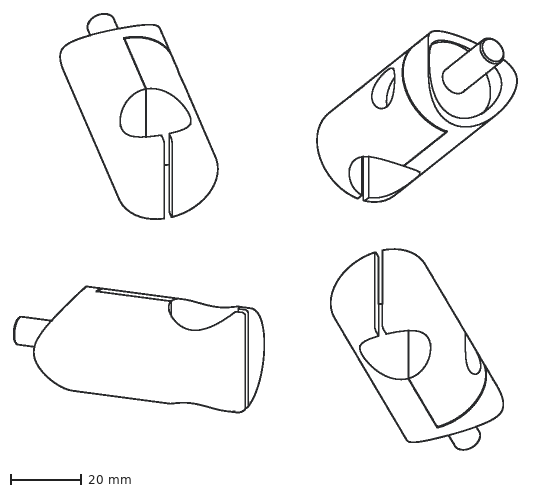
import cadquery as cq

total_length = 69.65
body_diameter = 30.0
body_radius = body_diameter / 2
end_fillet = 1.05

saddle_radius = 16.85
saddle_bottom_x = 19.65
saddle_axis_x = saddle_bottom_x - saddle_radius

recess_diameter = 24.5
recess_floor_x = saddle_bottom_x + 0.5

step_x = 23.8
jaw_end_gap = 0.4
jaw_start_x = step_x + jaw_end_gap
jaw_side_gap = 0.15

bore_diameter = 20.1
bore_x = 56.6
slot_width = 2.3

pocket_diameter = 12.0
pocket_x = 34.2
pocket_floor_y = 10.0

stud_diameter = 8.1
stud_chamfer = 0.5


def rod_x(diameter, start_x, end_x):
    """Cylinder on the X axis."""
    return cq.Workplane("YZ", origin=(start_x, 0, 0)).circle(diameter / 2).extrude(end_x - start_x)


def rod_z(diameter, x):
    """Cylinder parallel to Z, longer than the body is high."""
    return cq.Workplane("XY").center(x, 0).circle(diameter / 2).extrude(body_diameter, both=True)


def block(start_x, end_x, start_y, end_y):
    """Rectangular block taller than the body."""
    return cq.Workplane("XY").box(
        end_x - start_x, end_y - start_y, 2 * body_diameter, centered=(False, False, True)
    ).translate((start_x, start_y, 0))


def make_envelope():
    """Rounded cylinder with the cross bore and slot, shared by the body and the jaw."""
    envelope = rod_x(body_diameter, 0, total_length).faces(">X").edges().fillet(end_fillet)
    slot = block(bore_x, total_length, -slot_width / 2, slot_width / 2)
    return envelope.cut(rod_z(bore_diameter, bore_x)).cut(slot)


def make_body():
    """Half cylinder with a full round saddle end."""
    jaw_space = block(step_x, total_length, 0, body_radius)
    saddle = rod_z(2 * saddle_radius, saddle_axis_x)
    stub_side = block(0, saddle_axis_x, -body_radius, body_radius)
    recess = rod_x(recess_diameter, 0, recess_floor_x)
    stud_hole = rod_x(stud_diameter, 0, step_x)
    body = make_envelope().cut(jaw_space)
    return body.cut(stub_side).cut(saddle).cut(recess).cut(stud_hole)


def make_jaw():
    """Removable half with the screw-head pocket."""
    jaw_space = block(jaw_start_x, total_length, jaw_side_gap, body_radius)
    pocket = (
        cq.Workplane("XZ", origin=(pocket_x, pocket_floor_y, 0))
        .circle(pocket_diameter / 2)
        .extrude(-body_radius)
    )
    return make_envelope().intersect(jaw_space).cut(pocket)


def make_stud():
    """Straight stud with a chamfered tip."""
    return rod_x(stud_diameter, 0, step_x).faces("<X").chamfer(stud_chamfer)


body = make_body().solids()
jaw = make_jaw().solids()
stud = make_stud().solids()

result = cq.Compound.makeCompound([body.val(), jaw.val(), stud.val()])